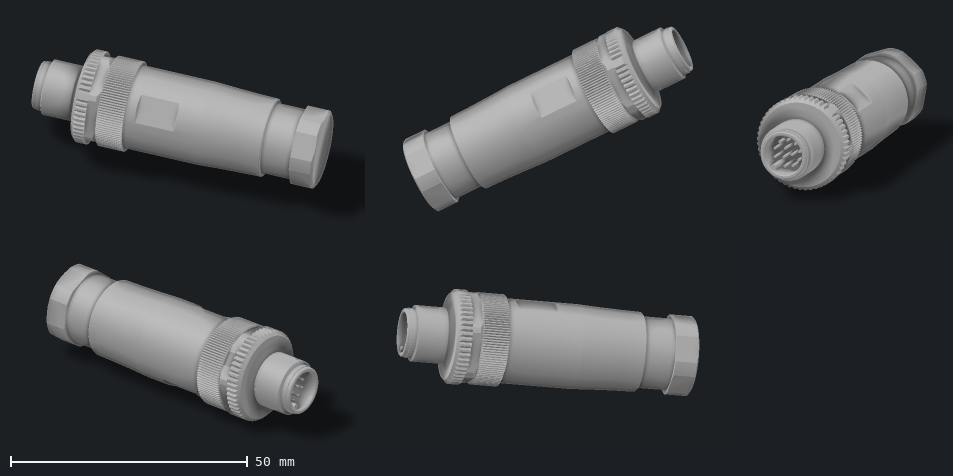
import cadquery as cq
import math

CLOCKING = 40.0
LENGTH = 62.8

NOSE_TIP_R = 10.3 / 2
NOSE_CHAMFER = 0.2
NOSE_STEP_X = 0.9
NECK_R = 10.6 / 2
THREAD_X0 = 2.0
THREAD_X1 = 8.85
THREAD_R = 12.0 / 2
THREAD_LEAD_IN = 0.3
THREAD_CHAMFER = 0.25

SOCKET_MOUTH_R = 4.45
SOCKET_CHAMFER = 0.2
SOCKET_FLOOR_R = 4.0
SOCKET_DEPTH = 8.15
KEY_R = 0.6
KEY_CENTRE_R = 3.7
KEY_X0 = 0.25
PIN_R = 0.6 / 2
PIN_X0 = 2.2
OUTER_PINS = 9
OUTER_PIN_CIRCLE_R = 2.9
OUTER_PIN_GAP_AT_KEY = 60.0
INNER_PINS = 3
INNER_PIN_CIRCLE_R = 1.1

NUT_X0 = 9.85
NUT_R = 20.15 / 2
NUT_CHAMFER = 0.9
FILLET_X0 = 9.05
FILLET_MID = (9.6, 6.15)
FILLET_END_R = 7.35
COARSE_X1 = 13.0
COARSE_TEETH = 52
COARSE_ROOT_R = 9.6
COARSE_APEX_R = 10.35
HEX_X1 = 15.3
HEX_CHAMFER = 0.6
HEX_FLATS = 18.0
MARK_RIB_WIDTH = 1.2
MARK_GROOVE_WIDTH = 3.15
MARK_GROOVE_DEPTH = 0.25

FINE_X1 = 21.15
FINE_R = 9.8
FINE_TEETH = 108
FINE_ROOT_R = 9.4
FINE_APEX_R = 9.9
FINE_CHAMFER = 0.3

BODY_R = 18.0 / 2
BODY_X1 = 37.3
TAPER_X1 = 51.05
TAPER_MID_R = 8.65
TAPER_END_R = 8.5
TAPER_END_CHAMFER = 0.2
REAR_R = 15.2 / 2
FLAT_X0 = 23.75
FLAT_X1 = 32.0
FLAT_HEIGHT = 8.5
FLAT_RAMP = 0.4

CLAMP_X0 = 57.7
CLAMP_R = 8.5
CLAMP_FLATS = 16.0
CLAMP_BEVEL_LENGTH = 0.45
CLAMP_BEVEL_DEPTH = 0.75


def revolved(profile):
    """Turn a closed XY profile about the X axis."""
    return profile.close().revolve(360, (0, 0, 0), (1, 0, 0))


def cylinder(x0, x1, radius, y=0.0, z=0.0):
    return cq.Workplane("YZ", origin=(x0, y, z)).circle(radius).extrude(x1 - x0)


def on_circle(radius, angle):
    """Point at an angle measured from +Y toward +Z."""
    return radius * math.cos(math.radians(angle)), radius * math.sin(math.radians(angle))


def hexagon(x0, x1, across_flats, turn):
    across_corners = across_flats / math.cos(math.radians(30))
    prism = cq.Workplane("YZ", origin=(x0, 0, 0)).polygon(6, across_corners).extrude(x1 - x0)
    return prism.rotate((0, 0, 0), (1, 0, 0), turn)


def knurl(x0, x1, teeth, root_r, apex_r):
    """Straight knurl of sharp V-shaped teeth, with a root on +Z."""
    pitch = 360 / teeth
    points = []
    for i in range(teeth):
        root_angle = 90 + i * pitch
        points.append(on_circle(root_r, root_angle))
        points.append(on_circle(apex_r, root_angle + pitch / 2))
    return cq.Workplane("YZ", origin=(x0, 0, 0)).polyline(points).close().extrude(x1 - x0)


def nose():
    """Nose, threaded sleeve, fillet into the nut face, and a core that reaches inside the nut."""
    return revolved(
        cq.Workplane("XY")
        .lineTo(0, NOSE_TIP_R - NOSE_CHAMFER)
        .lineTo(NOSE_CHAMFER, NOSE_TIP_R)
        .lineTo(NOSE_STEP_X, NOSE_TIP_R)
        .lineTo(NOSE_STEP_X, NECK_R)
        .lineTo(THREAD_X0, NECK_R)
        .lineTo(THREAD_X0 + THREAD_LEAD_IN, THREAD_R)
        .lineTo(THREAD_X1 - THREAD_CHAMFER, THREAD_R)
        .lineTo(THREAD_X1, THREAD_R - THREAD_CHAMFER)
        .lineTo(THREAD_X1, NECK_R)
        .lineTo(FILLET_X0, NECK_R)
        .threePointArc(FILLET_MID, (NUT_X0, FILLET_END_R))
        .lineTo(COARSE_X1, FILLET_END_R)
        .lineTo(COARSE_X1, 0)
    )


def coupling_nut():
    """Knurl and hexagon trimmed by a turned outline, with marking ribs and a marking groove."""
    envelope = revolved(
        cq.Workplane("XY")
        .moveTo(NUT_X0, 0)
        .lineTo(NUT_X0, NUT_R - NUT_CHAMFER)
        .lineTo(NUT_X0 + NUT_CHAMFER, NUT_R)
        .lineTo(HEX_X1 - HEX_CHAMFER, NUT_R)
        .lineTo(HEX_X1, NUT_R - HEX_CHAMFER)
        .lineTo(HEX_X1, 0)
    )
    teeth = knurl(NUT_X0, COARSE_X1, COARSE_TEETH, COARSE_ROOT_R, COARSE_APEX_R)
    hex_part = hexagon(COARSE_X1, HEX_X1, HEX_FLATS, 30)
    groove = cq.Workplane("XY").box(
        HEX_X1 - COARSE_X1, MARK_GROOVE_DEPTH, MARK_GROOVE_WIDTH, centered=(False, False, True)
    ).translate((COARSE_X1, HEX_FLATS / 2 - MARK_GROOVE_DEPTH, 0))
    rib = cq.Workplane("XY").box(
        COARSE_X1 - NUT_X0, MARK_RIB_WIDTH, 2 * COARSE_APEX_R, centered=(False, True, True)
    ).translate((NUT_X0, 0, 0))
    return teeth.union(hex_part.cut(groove)).union(rib).intersect(envelope)


def fine_ring():
    """Knurled ring whose teeth are trimmed to narrow flat tips."""
    envelope = cylinder(HEX_X1, FINE_X1, FINE_R).faces("<X").chamfer(FINE_CHAMFER)
    return knurl(HEX_X1, FINE_X1, FINE_TEETH, FINE_ROOT_R, FINE_APEX_R).intersect(envelope)


def housing():
    """Cylinder, slightly hollow taper and rear stub, with two opposite wrench flats."""
    body = revolved(
        cq.Workplane("XY")
        .moveTo(FINE_X1, 0)
        .lineTo(FINE_X1, BODY_R)
        .lineTo(BODY_X1, BODY_R)
        .threePointArc(((BODY_X1 + TAPER_X1) / 2, TAPER_MID_R), (TAPER_X1, TAPER_END_R))
        .lineTo(TAPER_X1 + TAPER_END_CHAMFER, TAPER_END_R - TAPER_END_CHAMFER)
        .lineTo(TAPER_X1 + TAPER_END_CHAMFER, REAR_R)
        .lineTo(CLAMP_X0, REAR_R)
        .lineTo(CLAMP_X0, 0)
    )
    flat_cut = (
        cq.Workplane("XZ")
        .moveTo(FLAT_X0, FLAT_HEIGHT)
        .lineTo(FLAT_X1, FLAT_HEIGHT)
        .lineTo(FLAT_X1 + FLAT_RAMP, BODY_R)
        .lineTo(FLAT_X0 - FLAT_RAMP, BODY_R)
        .close()
        .extrude(BODY_R, both=True)
    )
    return body.cut(flat_cut).cut(flat_cut.mirror("XY"))


def clamping_nut():
    """Hexagon with turned corners and a bevelled rear end."""
    envelope = revolved(
        cq.Workplane("XY")
        .moveTo(CLAMP_X0, 0)
        .lineTo(CLAMP_X0, CLAMP_R)
        .lineTo(LENGTH - CLAMP_BEVEL_LENGTH, CLAMP_R)
        .lineTo(LENGTH, CLAMP_R - CLAMP_BEVEL_DEPTH)
        .lineTo(LENGTH, 0)
    )
    return hexagon(CLAMP_X0, LENGTH, CLAMP_FLATS, 0).intersect(envelope)


def socket():
    """Slightly tapered cavity with a chamfered mouth, to be cut away."""
    return revolved(
        cq.Workplane("XY")
        .lineTo(0, SOCKET_MOUTH_R)
        .lineTo(SOCKET_CHAMFER, SOCKET_MOUTH_R - SOCKET_CHAMFER)
        .lineTo(SOCKET_DEPTH, SOCKET_FLOOR_R)
        .lineTo(SOCKET_DEPTH, 0)
    )


def key_and_pins():
    """Coding key on the -Z side, a ring of pins that leaves a gap there, and inner pins."""
    key_angle = 270
    root_x = NUT_X0
    solid = cylinder(KEY_X0, root_x, KEY_R, *on_circle(KEY_CENTRE_R, key_angle))
    outer_pitch = (360 - OUTER_PIN_GAP_AT_KEY) / (OUTER_PINS - 1)
    first_angle = key_angle + OUTER_PIN_GAP_AT_KEY / 2
    centres = [on_circle(OUTER_PIN_CIRCLE_R, first_angle + i * outer_pitch) for i in range(OUTER_PINS)]
    centres += [on_circle(INNER_PIN_CIRCLE_R, key_angle + i * 360 / INNER_PINS) for i in range(INNER_PINS)]
    for y, z in centres:
        solid = solid.union(cylinder(PIN_X0, root_x, PIN_R, y, z))
    return solid


plug = nose().union(coupling_nut()).union(fine_ring()).union(housing()).union(clamping_nut())
plug = plug.cut(socket()).union(key_and_pins())
result = plug.rotate((0, 0, 0), (1, 0, 0), CLOCKING)